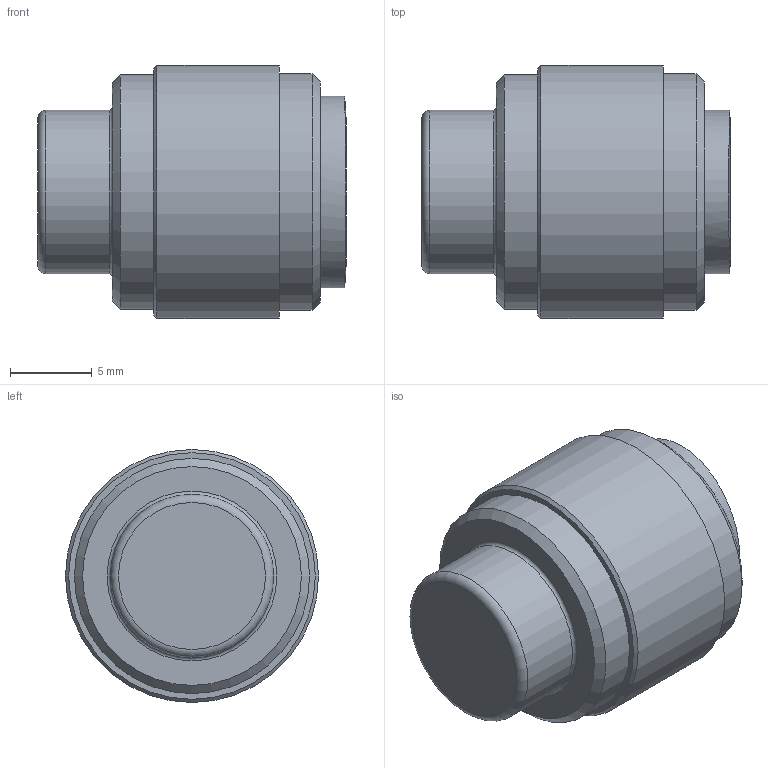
import cadquery as cq
import math

pin_length = 4.57
front_land_length = 2.53
collar_length = 7.7
rear_land_length = 2.5
boss_length = 1.6

pin_radius = 5.0
front_land_radius = 7.2
collar_radius = 7.75
rear_land_radius = 7.25

pin_tip_fillet = 0.5
pin_root_fillet = 0.2
land_chamfer = 0.5
collar_chamfer = 0.2

boss_half_width_y = 5.0
boss_half_height_z = 5.87
end_flat_radius = 4.3
end_cone_angle = 3.5

full_turn = 360
axis_start = (0, 0, 0)
axis_end = (1, 0, 0)

front_land_start = pin_length
collar_start = front_land_start + front_land_length
rear_land_start = collar_start + collar_length
rear_face = rear_land_start + rear_land_length
boss_end = rear_face + boss_length


def make_turned_body():
    """Pin, two chamfered lands and the collar, revolved about the X axis."""
    mid_arc_inset = 1 - math.sqrt(0.5)
    tip_arc_middle = (
        pin_tip_fillet * mid_arc_inset,
        pin_radius - pin_tip_fillet * mid_arc_inset,
    )
    root_arc_middle = (
        pin_length - pin_root_fillet * mid_arc_inset,
        pin_radius + pin_root_fillet * mid_arc_inset,
    )
    half_profile = (
        cq.Workplane("XZ")
        .moveTo(0, 0)
        .lineTo(0, pin_radius - pin_tip_fillet)
        .threePointArc(tip_arc_middle, (pin_tip_fillet, pin_radius))
        .lineTo(pin_length - pin_root_fillet, pin_radius)
        .threePointArc(root_arc_middle, (pin_length, pin_radius + pin_root_fillet))
        .lineTo(front_land_start, front_land_radius - land_chamfer)
        .lineTo(front_land_start + land_chamfer, front_land_radius)
        .lineTo(collar_start, front_land_radius)
        .lineTo(collar_start, collar_radius - collar_chamfer)
        .lineTo(collar_start + collar_chamfer, collar_radius)
        .lineTo(rear_land_start, collar_radius)
        .lineTo(rear_land_start, rear_land_radius)
        .lineTo(rear_face - land_chamfer, rear_land_radius)
        .lineTo(rear_face, rear_land_radius - land_chamfer)
        .lineTo(rear_face, 0)
        .close()
    )
    return half_profile.revolve(full_turn, axis_start, axis_end)


def make_rear_boss():
    """Elliptical boss, taller in Z, whose end is a flat disc with a shallow cone around it."""
    boss_root = rear_face - land_chamfer
    ellipse_prism = (
        cq.Workplane("YZ", origin=(boss_root, 0, 0))
        .ellipse(boss_half_width_y, boss_half_height_z)
        .extrude(boss_end - boss_root)
    )
    envelope_radius = rear_land_radius
    cone_drop = (envelope_radius - end_flat_radius) * math.tan(math.radians(end_cone_angle))
    end_envelope = (
        cq.Workplane("XZ")
        .moveTo(boss_root, 0)
        .lineTo(boss_root, envelope_radius)
        .lineTo(boss_end - cone_drop, envelope_radius)
        .lineTo(boss_end, end_flat_radius)
        .lineTo(boss_end, 0)
        .close()
        .revolve(full_turn, axis_start, axis_end)
    )
    return ellipse_prism.intersect(end_envelope)


result = make_turned_body().union(make_rear_boss())